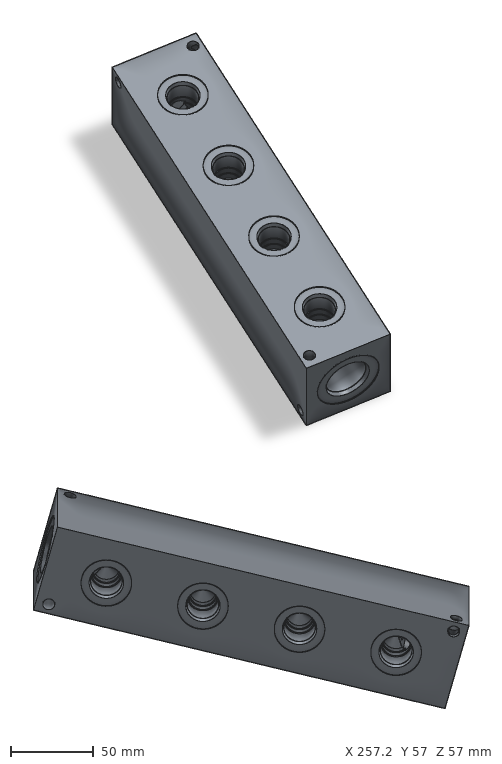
import cadquery as cq
import math

LENGTH = 257.2
SECTION = 57.0

DRILL_POINT_ANGLE = 118.0
POINT_SLOPE = 1 / math.tan(math.radians(DRILL_POINT_ANGLE / 2))

STATION_COUNT = 4
OUTER_STATION_X = 90.5
STATION_SPOTFACE = 30.5
STATION_SEAT = 20.8
STATION_SEAT_FLOOR = 19.3
STATION_THREAD_MAJOR = 19.0
STATION_THREAD_MINOR = 17.5
STATION_DRILL = 16.0
STATION_THREAD_DEPTH = 14.5
STATION_TAP_DEPTH = 18.8
STATION_DRILL_DEPTH = 23.1

END_SPOTFACE = 42.0
END_SEAT = 29.3
END_SEAT_FLOOR = 27.5
END_THREAD_MAJOR = 27.0
END_THREAD_MINOR = 25.0
END_DRILL = 23.0
END_THREAD_DEPTH = 20.0
END_TAP_DEPTH = 24.5
END_TIP_SETBACK = 0.5

SPOTFACE_DEPTH = 0.8
SEAT_DEPTH = 3.3

MOUNT_DIAMETER = 7.2
MOUNT_X = 120.5
MOUNT_OFFSET = 22.5

station_pitch = 2 * OUTER_STATION_X / (STATION_COUNT - 1)
end_tip_depth = LENGTH / 2 - OUTER_STATION_X - END_TIP_SETBACK
end_drill_depth = end_tip_depth - END_DRILL / 2 * POINT_SLOPE


def port_cutter(spotface, seat, seat_floor, major, minor, drill, thread_depth, tap_depth, drill_depth):
    """Stepped port bore with its mouth at Z = 0, sunk along -Z to a conical drill point."""
    profile = [
        (0, 0),
        (spotface / 2, 0),
        (spotface / 2, -SPOTFACE_DEPTH),
        (seat / 2, -SPOTFACE_DEPTH),
        (seat_floor / 2, -SEAT_DEPTH),
        (major / 2, -SEAT_DEPTH),
        (major / 2, -thread_depth),
        (minor / 2, -thread_depth),
        (minor / 2, -tap_depth),
        (drill / 2, -tap_depth),
        (drill / 2, -drill_depth),
        (0, -drill_depth - drill / 2 * POINT_SLOPE),
    ]
    return cq.Workplane("XZ").polyline(profile).close().revolve(360, (0, 0), (0, 1))


def cut_station_ports(body):
    port = port_cutter(
        STATION_SPOTFACE, STATION_SEAT, STATION_SEAT_FLOOR, STATION_THREAD_MAJOR, STATION_THREAD_MINOR,
        STATION_DRILL, STATION_THREAD_DEPTH, STATION_TAP_DEPTH, STATION_DRILL_DEPTH,
    )
    top_port = port.translate((0, 0, SECTION / 2))
    bottom_port = top_port.mirror("XY")
    for station in range(STATION_COUNT):
        position = (station * station_pitch - OUTER_STATION_X, 0, 0)
        body = body.cut(top_port.translate(position))
        body = body.cut(bottom_port.translate(position))
    return body


def cut_end_ports(body):
    port = port_cutter(
        END_SPOTFACE, END_SEAT, END_SEAT_FLOOR, END_THREAD_MAJOR, END_THREAD_MINOR,
        END_DRILL, END_THREAD_DEPTH, END_TAP_DEPTH, end_drill_depth,
    )
    right_port = port.rotate((0, 0, 0), (0, 1, 0), 90).translate((LENGTH / 2, 0, 0))
    return body.cut(right_port).cut(right_port.mirror("YZ"))


def cut_mounting_holes(body):
    """Through holes at two diagonally opposite corners, along Z and along Y."""
    corners = [(-MOUNT_X, MOUNT_OFFSET), (MOUNT_X, -MOUNT_OFFSET)]
    for plane in ("XY", "XZ"):
        holes = cq.Workplane(plane).pushPoints(corners).circle(MOUNT_DIAMETER / 2)
        body = body.cut(holes.extrude(SECTION / 2, both=True))
    return body


block = cq.Workplane("XY").box(LENGTH, SECTION, SECTION)
result = cut_mounting_holes(cut_end_ports(cut_station_ports(block)))